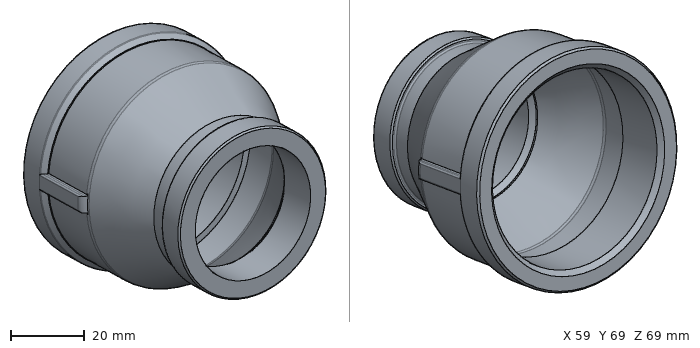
import cadquery as cq
import math

LENGTH = 59.0

RIM_RADIUS = 69.0 / 2
RIM_EDGE_CHAMFER = 0.6
RIM_WIDTH = 8.0
RIM_FLARE_END = 9.5
RIM_FLARE_FILLET = 0.4
BODY_RADIUS = 65.6 / 2
BODY_END = 27.6
BODY_CORNER_FILLET = 2.0
NECK_RADIUS = 47.0 / 2
NECK_START = 45.4
COLLAR_RADIUS = 50.0 / 2
COLLAR_WIDTH = 8.2
COLLAR_CHAMFER = 0.5
COLLAR_FILLET = 0.5
COLLAR_START = LENGTH - COLLAR_WIDTH

LARGE_BORE_RADIUS = 56.66 / 2
THREAD_CHAMFER = 1.48
LARGE_BORE_DEPTH = 16.6
RELIEF_RADIUS = 60.6 / 2
RELIEF_END = 27.1
RELIEF_CORNER_FILLET = 2.0
SMALL_BORE_RADIUS = 38.95 / 2
INNER_CONE_END = 44.9
SMALL_BORE_START = 47.0

RIB_START = RIM_WIDTH / 2
RIB_WIDTH = 5.0
RIB_SIDE_FILLET = 0.5
RIB_FOOT_SINK = 0.03
RIB_END_FILLET = 2.0


def revolve_about_x(points):
    """Revolve a closed (x, radius) outline about the X axis."""
    outline = cq.Workplane("XZ").polyline(points).close()
    return outline.revolve(360, (0, 0, 0), (1, 0, 0))


def fillet_circle(solid, x, radius, fillet):
    """Round the circular edge found at (x, radius)."""
    reach = 0.01
    zone = cq.selectors.BoxSelector(
        (x - reach, -radius - reach, -radius - reach),
        (x + reach, radius + reach, radius + reach),
        boundingbox=True,
    )
    return solid.edges(zone).fillet(fillet)


def outer_body():
    """Rim, body cylinder, cone, neck and collar as a full solid of revolution."""
    body = revolve_about_x([
        (0, 0),
        (0, RIM_RADIUS - RIM_EDGE_CHAMFER),
        (RIM_EDGE_CHAMFER, RIM_RADIUS),
        (RIM_WIDTH, RIM_RADIUS),
        (RIM_FLARE_END, BODY_RADIUS),
        (BODY_END, BODY_RADIUS),
        (NECK_START, NECK_RADIUS),
        (COLLAR_START, NECK_RADIUS),
        (COLLAR_START, COLLAR_RADIUS - COLLAR_CHAMFER),
        (COLLAR_START + COLLAR_CHAMFER, COLLAR_RADIUS),
        (LENGTH - COLLAR_CHAMFER, COLLAR_RADIUS),
        (LENGTH, COLLAR_RADIUS - COLLAR_CHAMFER),
        (LENGTH, 0),
    ])
    body = fillet_circle(body, RIM_WIDTH, RIM_RADIUS, RIM_FLARE_FILLET)
    body = fillet_circle(body, RIM_FLARE_END, BODY_RADIUS, RIM_FLARE_FILLET)
    body = fillet_circle(body, BODY_END, BODY_RADIUS, BODY_CORNER_FILLET)
    return fillet_circle(body, COLLAR_START, NECK_RADIUS, COLLAR_FILLET)


def cavity():
    """Through passage: large bore with relief, cone and small bore."""
    passage = revolve_about_x([
        (0, 0),
        (0, LARGE_BORE_RADIUS + THREAD_CHAMFER),
        (THREAD_CHAMFER, LARGE_BORE_RADIUS),
        (LARGE_BORE_DEPTH, LARGE_BORE_RADIUS),
        (LARGE_BORE_DEPTH, RELIEF_RADIUS),
        (RELIEF_END, RELIEF_RADIUS),
        (INNER_CONE_END, SMALL_BORE_RADIUS + THREAD_CHAMFER),
        (SMALL_BORE_START - THREAD_CHAMFER, SMALL_BORE_RADIUS + THREAD_CHAMFER),
        (SMALL_BORE_START, SMALL_BORE_RADIUS),
        (LENGTH, SMALL_BORE_RADIUS),
        (LENGTH, 0),
    ])
    return fillet_circle(passage, RELIEF_END, RELIEF_RADIUS, RELIEF_CORNER_FILLET)


def rib_envelope():
    """Cylinder that the rib tops lie on, rounded down at the cone end."""
    drum = cq.Workplane("YZ").circle(RIM_RADIUS).extrude(BODY_END)
    return drum.faces(">X").edges().fillet(RIB_END_FILLET)


def rib_bar():
    """One rib on the +Y side, with rounded top edges and flared side feet."""
    half_width = RIB_WIDTH / 2
    half_top = half_width - RIB_SIDE_FILLET
    half_foot = half_width + RIB_SIDE_FILLET
    top = math.sqrt(RIM_RADIUS ** 2 - half_top ** 2)
    foot = math.sqrt(BODY_RADIUS ** 2 - half_foot ** 2) - RIB_FOOT_SINK
    inside = (RELIEF_RADIUS + BODY_RADIUS) / 2
    return (
        cq.Workplane("YZ", origin=(RIB_START, 0, 0))
        .moveTo(inside, -half_foot)
        .lineTo(foot, -half_foot)
        .radiusArc((foot + RIB_SIDE_FILLET, -half_width), RIB_SIDE_FILLET)
        .lineTo(top - RIB_SIDE_FILLET, -half_width)
        .radiusArc((top, -half_top), -RIB_SIDE_FILLET)
        .threePointArc((RIM_RADIUS, 0), (top, half_top))
        .radiusArc((top - RIB_SIDE_FILLET, half_width), -RIB_SIDE_FILLET)
        .lineTo(foot + RIB_SIDE_FILLET, half_width)
        .radiusArc((foot, half_foot), RIB_SIDE_FILLET)
        .lineTo(inside, half_foot)
        .close()
        .extrude(BODY_END - RIB_START)
    )


def ribs():
    """Two opposite ribs, level with the rim."""
    rib = rib_bar().intersect(rib_envelope())
    return rib.union(rib.mirror("XZ"))


result = outer_body().union(ribs()).cut(cavity())